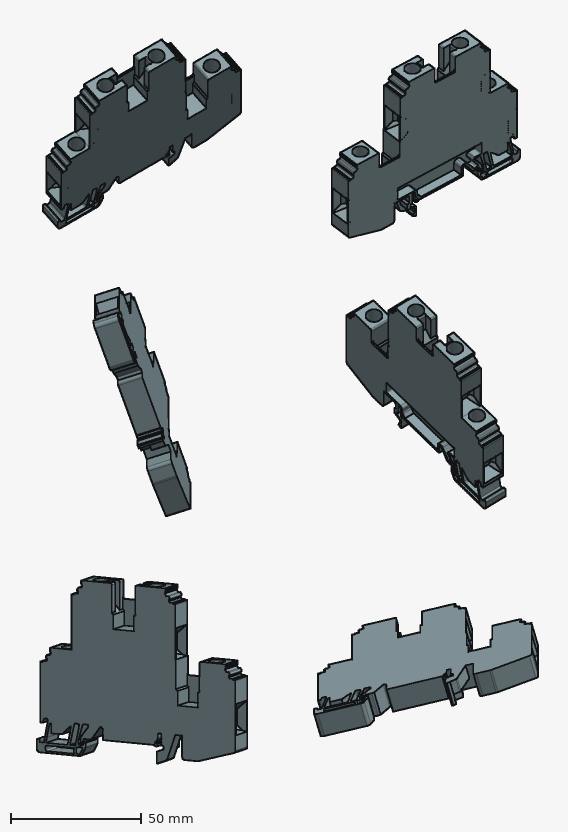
import cadquery as cq
import math


width = 9.9
length = 86.6
height = 68.8
clip_reach = 1.6
lower_front = clip_reach
lower_rear = length
upper_front = 15.2
upper_rear = 60.5
tier_step = 27.5
upper_top = height
lower_top = upper_top - tier_step

groove_width = 10.2
groove_depth = 7.5
groove_round = 0.6
upper_groove_y = 32.7
lower_groove_y = 60.7
groove_lip = 0.8
pocket_step = 4.0
pocket_inset = 0.7
pocket_depth = 10.4

screw_x = 5.3
screw_diameter = 6.4
upper_screws = (25.8, 49.9)
lower_screws = (12.1, 76.05)
slot_width = 3.6
slot_x = 5.1
slot_reach = 3.0
slot_depth_at_groove = groove_depth + pocket_step
slot_depth_at_back = slot_depth_at_groove - slot_reach
slot_clearance = 0.9

funnel_mouth_top = 15.25
funnel_throat_top = 20.35
funnel_throat_bottom = 26.4
funnel_mouth_bottom = tier_step
funnel_depth = 6.0
funnel_straight = 4.2
funnel_side_wall = 0.5
throat_left = 2.2
throat_right = 8.4
corner_rise = 1.0
corner_run = 1.2
screw_depth = funnel_mouth_top

foot_strip = 1.0
foot_bottom = 7.1
foot_recess_floor = foot_bottom + foot_strip
foot_arch = 11.8
foot_recess_ledge = foot_arch + foot_strip
recess_top = 18.6
recess_depth = 4.25
body_floor = 2.3
clip_deck = 4.0


def rounded_outline(corners):
    """Closed YZ outline through (y, z) or (y, z, radius) corners."""
    count = len(corners)
    path = None
    for index, corner in enumerate(corners):
        here = cq.Vector(corner[0], corner[1], 0)
        if len(corner) == 2:
            entry = exit_point = here
        else:
            radius = corner[2]
            before = corners[index - 1]
            after = corners[(index + 1) % count]
            back = (cq.Vector(before[0], before[1], 0) - here).normalized()
            ahead = (cq.Vector(after[0], after[1], 0) - here).normalized()
            half_angle = back.getAngle(ahead) / 2
            setback = radius / math.tan(half_angle)
            entry = here + back * setback
            exit_point = here + ahead * setback
            bisector = (back + ahead).normalized()
            middle = here + bisector * (radius / math.sin(half_angle) - radius)
        if path is None:
            path = cq.Workplane("YZ").moveTo(entry.x, entry.y)
        else:
            path = path.lineTo(entry.x, entry.y)
        if len(corner) > 2:
            path = path.threePointArc((middle.x, middle.y), (exit_point.x, exit_point.y))
    return path.close()


def slab(corners, x_start=0.0, x_end=width):
    """Extrude a rounded YZ outline between two X positions."""
    return rounded_outline(corners).extrude(x_end - x_start).translate((x_start, 0, 0))


def stepped_corner(wall_y, top_z, inward):
    """Three grip ribs cut into a tier corner, listed from the wall up to the top face."""
    ribs = [
        (0.0, 5.7, 0.3), (0.6, 5.7), (0.8, 6.0), (1.2, 5.5), (2.4, 5.5, 0.3), (2.9, 4.9),
        (2.9, 4.4), (2.3, 3.9, 0.3), (3.0, 2.9, 0.3), (3.9, 3.0, 0.3), (4.7, 2.1),
        (4.2, 1.2), (4.4, 0.8), (4.2, 0.5), (4.2, 0.3), (4.4, 0.0),
    ]
    return [(wall_y + inward * depth, top_z - drop, *radius) for depth, drop, *radius in ribs]


def groove(start_y, top_z):
    """Groove corners, listed from the high-Y rim to the low-Y rim."""
    end_y = start_y + groove_width
    floor_z = top_z - groove_depth
    return [
        (end_y, top_z, groove_round),
        (end_y, floor_z, groove_round),
        (start_y, floor_z, groove_round),
        (start_y, top_z, groove_round),
    ]


def housing():
    lower_groove = groove(lower_groove_y, lower_top)[:3]
    top_side = (
        stepped_corner(lower_rear, lower_top, -1)
        + lower_groove
        + [(lower_groove_y, lower_top), (upper_rear, lower_top)]
        + stepped_corner(upper_rear, upper_top, -1)
        + groove(upper_groove_y, upper_top)
        + stepped_corner(upper_front, upper_top, 1)[::-1]
        + [(upper_front, lower_top)]
        + stepped_corner(lower_front, lower_top, 1)[::-1]
    )
    front_notch = [
        (lower_front, 11.7, 0.4), (2.9, 11.7, 0.4), (3.2, 13.4, 0.7), (4.9, 13.4, 0.5),
        (4.8, 12.1),
    ]
    clip_tab = [
        (3.2, clip_deck, 0.7), (1.4, clip_deck, 0.35), (1.4, 5.3, 0.5), (0, 5.3, 0.7),
        (0, 0, 1.6),
    ]
    clip_nose = [
        (19.5, 0, 1.7), (21.5, 3.8, 0.9), (21.5, 5.5), (20.4, 5.5), (20.35, 4.85),
        (19.1, 4.2), (18.3, 4.8), (18.3, 6.4),
    ]
    clip_slit = [
        (20.2, 12.65, 0.7), (22.9, 12.65, 0.6), (22.3, 11.35), (19.4, 7.9), (19.05, 6.4),
        (19.2, 4.9),
    ]
    rail_foot = [
        (20.0, 5.7), (20.8, 7.1, 0.3), (21.4, 6.8), (22.95, 6.8), (24.0, foot_bottom),
        (28.0, 12.5, 0.5), (28.85, 11.35), (28.85, foot_bottom, 0.35), (51.0, foot_bottom),
        (51.3, 6.8), (52.2, 6.6), (52.8, 6.8), (52.8, 7.9), (52.3, 7.6),
        (51.45, 8.0), (52.6, 9.2), (52.8, 10.2),
    ]
    rail_hook = [
        (52.8, foot_arch, 0.4), (54.4, foot_arch, 0.35), (54.4, foot_bottom),
        (55.3, foot_bottom, 0.35), (55.3, 5.7), (52.3, 4.7, 0.5), (52.3, 0),
        (52.9, 0), (54.1, 0.6), (54.05, 1.3), (53.3, 2.25), (53.3, 4.2, 0.4), (56.9, 5.4),
        (56.9, 7.6), (55.9, 8.4), (55.9, foot_arch, 0.9),
    ]
    rear_base = [
        (63.3, foot_arch), (63.3, body_floor, 1.3), (70.25, body_floor, 2.6),
        (lower_rear, 7.1, 1.3),
    ]
    underside = front_notch + clip_tab + clip_nose + clip_slit + rail_foot + rail_hook
    return slab(top_side + underside + rear_base)


def clip_windows():
    """Openings through the springy release clip."""
    between_springs = [
        (18.6, 12.65, 0.6), (16.55, 12.65, 0.6), (14.6, 4.5), (14.6, clip_deck),
        (16.9, clip_deck), (18.4, 10.7),
    ]
    under_body = [
        (15.1, 11.7, 0.3), (11.1, 7.9), (6.3, 7.9), (6.3, 11.6), (5.7, 11.6, 0.2),
        (4.5, 6.2), (4.2, clip_deck), (13.5, clip_deck, 0.5),
    ]
    nose_window = [
        (20.1, 3.5, 0.3), (17.2, 3.5, 0.8), (17.2, 0.8, 0.4), (18.7, 0.8, 0.5),
        (19.8, 2.5, 0.35),
    ]
    bar_window = [(16.3, 2.95, 0.2), (3.9, 2.95, 0.7), (3.9, 0.8, 0.7), (16.3, 0.8, 0.35)]
    windows = slab(between_springs)
    for corners in (under_body, nose_window, bar_window):
        windows = windows.union(slab(corners))
    return windows


def foot_recess():
    """Shallow recess above the rail strip on the -X face."""
    corners = [
        (61.8, recess_top, 0.35), (61.8, foot_recess_ledge, 0.35),
        (52.0, foot_recess_ledge, 1.3), (51.8, 10.0, 1.3), (50.0, foot_recess_floor),
        (29.8, foot_recess_floor), (29.8, foot_recess_ledge, 1.4),
        (27.0, foot_recess_ledge, 0.9), (23.2, 7.9), (20.8, 7.9, 0.5),
        (23.8, 12.0, 0.5), (22.9, 13.3, 0.35), (19.4, 13.3, 0.35), (19.4, recess_top),
    ]
    return slab(corners, 0, recess_depth)


def hook_backing():
    """Wedge behind the rail hook, set back from the -X face."""
    corners = [
        (60.4, foot_arch), (56.8, 1.7, 0.9), (53.0, 0.2), (53.0, 4.2), (55.95, 5.4),
        (55.4, foot_arch),
    ]
    return slab(corners, recess_depth, width)


def groove_pocket(start_y, top_z):
    """Deep pocket below a groove, open on the +X side."""
    end_y = start_y + groove_width
    floor_z = top_z - groove_depth
    narrow_z = floor_z - pocket_step
    bottom_z = floor_z - pocket_depth
    corners = [
        (start_y, floor_z + groove_round), (start_y, narrow_z),
        (start_y + pocket_inset, narrow_z - pocket_inset), (start_y + pocket_inset, bottom_z),
        (end_y - pocket_inset, bottom_z), (end_y - pocket_inset, narrow_z - pocket_inset),
        (end_y, narrow_z), (end_y, floor_z + groove_round),
    ]
    return slab(corners, groove_lip, width)


def driver_slot(wall_y, outward):
    """Slot from the upper groove toward a screw hole, with a 45 degree floor."""
    back_y = wall_y + outward * slot_reach
    rim_y = back_y + outward * slot_clearance
    above_z = upper_top + slot_clearance
    corners = [
        (wall_y, above_z), (rim_y, above_z), (rim_y, upper_top),
        (back_y, upper_top, groove_round), (back_y, upper_top - slot_depth_at_back),
        (wall_y, upper_top - slot_depth_at_groove),
    ]
    return slab(corners, slot_x - slot_width / 2, slot_x + slot_width / 2)


def screw_hole(y, top_z):
    hole = cq.Workplane("XY").center(screw_x, y).circle(screw_diameter / 2)
    return hole.extrude(-screw_depth).translate((0, 0, top_z))


def wire_funnel():
    """Funnel going in along +Y from a wall at Y = 0 of a tier whose top is at Z = 0."""
    side_outline = [
        (0, -funnel_mouth_top), (funnel_depth, -funnel_throat_top),
        (funnel_depth, -funnel_throat_bottom), (0, -funnel_mouth_bottom),
    ]
    mouth_left = funnel_side_wall
    mouth_right = width - funnel_side_wall
    plan_outline = [
        (mouth_left, 0), (mouth_left, funnel_straight), (throat_left, funnel_depth),
        (throat_right, funnel_depth), (mouth_right, funnel_straight), (mouth_right, 0),
    ]
    plan = cq.Workplane("XY").polyline(plan_outline).close().extrude(-height)
    funnel = slab(side_outline).intersect(plan)

    bevel_z = -funnel_throat_bottom + corner_rise
    for throat_x, mouth_x, inward in ((throat_left, mouth_left, 1), (throat_right, mouth_right, -1)):
        bevel_top = cq.Vector(throat_x, funnel_depth, bevel_z)
        bevel_foot = cq.Vector(throat_x + inward * corner_run, funnel_depth, -funnel_throat_bottom)
        taper_start = cq.Vector(mouth_x, funnel_straight, bevel_z)
        along = bevel_foot - bevel_top
        normal = along.cross(taper_start - bevel_top)
        if normal.z > 0:
            normal = normal * -1
        bevel = cq.Workplane(cq.Plane(origin=bevel_top, xDir=along, normal=normal))
        funnel = funnel.cut(bevel.rect(height, height).extrude(width))
    return funnel


result = housing().cut(clip_windows()).cut(foot_recess()).union(hook_backing())

for groove_y, tier_top in ((upper_groove_y, upper_top), (lower_groove_y, lower_top)):
    result = result.cut(groove_pocket(groove_y, tier_top))

result = result.cut(driver_slot(upper_groove_y, -1))
result = result.cut(driver_slot(upper_groove_y + groove_width, 1))

tiers = (
    (upper_top, upper_front, upper_rear, upper_screws),
    (lower_top, lower_front, lower_rear, lower_screws),
)
front_funnel = wire_funnel()
rear_funnel = front_funnel.mirror("XZ")
for tier_top, front_y, rear_y, screws in tiers:
    for screw_y in screws:
        result = result.cut(screw_hole(screw_y, tier_top))
    result = result.cut(front_funnel.translate((0, front_y, tier_top)))
    result = result.cut(rear_funnel.translate((0, rear_y, tier_top)))